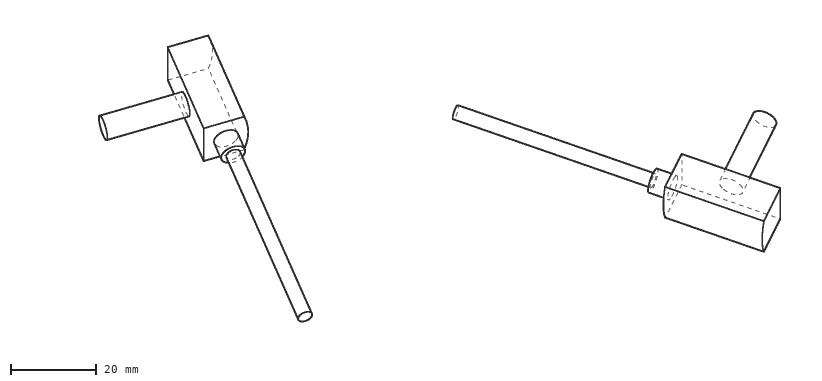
import cadquery as cq

total_length = 80.0
total_depth = 31.6

body_length = 25.0
body_height = 13.0
body_depth = 11.1
crown_rise = 1.0

pin_diameter = 6.0
collar_diameter = 6.0
collar_length = 5.0
cable_diameter = 3.5

pin_length = total_depth - body_depth
side_depth = body_depth - crown_rise
cable_length = total_length - body_length - collar_length
half_height = body_height / 2
cable_axis_y = body_depth / 2


def make_body():
    """Extrude the crowned side profile along X."""
    return (
        cq.Workplane("YZ")
        .moveTo(0, -half_height)
        .lineTo(side_depth, -half_height)
        .threePointArc((body_depth, 0), (side_depth, half_height))
        .lineTo(0, half_height)
        .close()
        .extrude(body_length)
    )


def make_cable_rod(start_x, diameter, length):
    """Cylinder on the cable axis, running toward +X."""
    return (
        cq.Workplane("YZ", origin=(start_x, cable_axis_y, 0))
        .circle(diameter / 2)
        .extrude(length)
    )


def make_pin():
    """Cylinder standing out of the middle of the front face, toward -Y."""
    return (
        cq.Workplane("XZ", origin=(body_length / 2, 0, 0))
        .circle(pin_diameter / 2)
        .extrude(pin_length)
    )


collar = make_cable_rod(body_length, collar_diameter, collar_length)
cable = make_cable_rod(body_length + collar_length, cable_diameter, cable_length)

result = make_body().union(make_pin()).union(collar).union(cable)